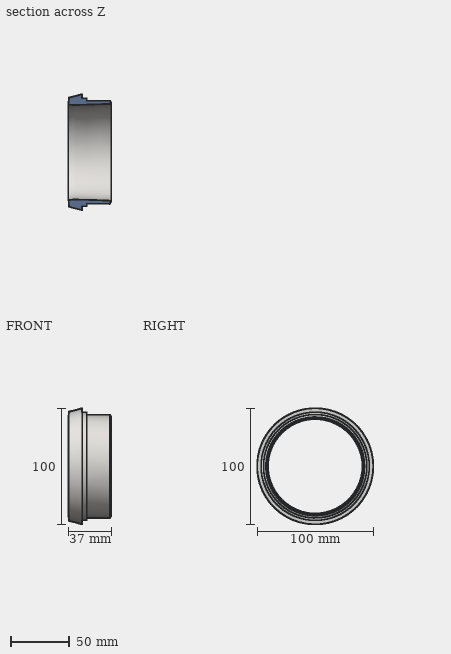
import cadquery as cq

total_length = 37.0
face_cone_depth = 0.6
flange_end = 12.0
shoulder_end = 16.0
bevel_length = 1.2
throat_position = 5.2

flange_front_diameter = 94.0
flange_diameter = 100.0
shoulder_diameter = 93.0
pipe_diameter = 88.9
bevel_end_diameter = 84.8
bore_front_diameter = 81.8
bore_throat_diameter = 81.0
bore_rear_diameter = 83.1

bevel_start = total_length - bevel_length

section = [
    (0, bore_front_diameter),
    (face_cone_depth, flange_front_diameter),
    (flange_end, flange_diameter),
    (flange_end, shoulder_diameter),
    (shoulder_end, shoulder_diameter),
    (shoulder_end, pipe_diameter),
    (bevel_start, pipe_diameter),
    (total_length, bevel_end_diameter),
    (total_length, bore_rear_diameter),
    (throat_position, bore_throat_diameter),
]

result = (
    cq.Workplane("XY")
    .polyline([(x, diameter / 2) for x, diameter in section])
    .close()
    .revolve(360, (0, 0, 0), (1, 0, 0))
)